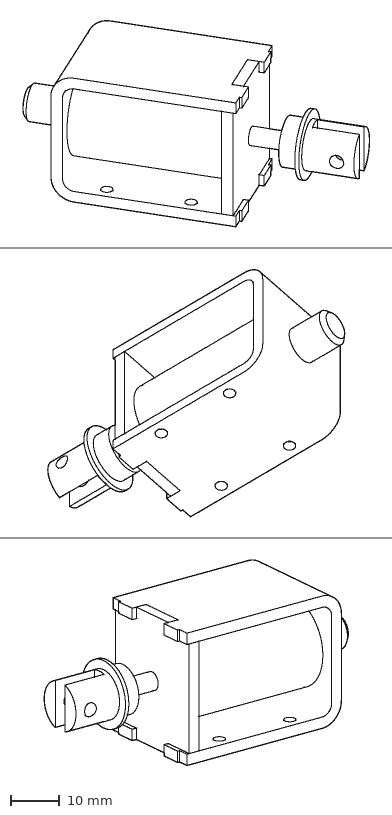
import cadquery as cq


frame_width = 25.0
frame_height = 29.0
sheet = 2.5
bend_radius = 2 * sheet
frame_start = 8.95
frame_shoulder = 48.5
frame_end = 49.0
tongue_width = 20.0
notch_width = 10.8

mount_diameter = 2.5
mount_first_x = 20.0
mount_pitch_x = 18.0
mount_pitch_y = 19.3

coil_diameter = 19.0
plate_start = 45.4

plunger_length = 71.5
tip_diameter = 8.0
tip_chamfer = 1.0
rod_diameter = 4.0
head_start = 55.4
head_diameter = 10.8
slot_start = 61.5
slot_width = 3.2
cross_hole_diameter = 3.0
cross_hole_x = 67.8

collar_diameter = 14.8
collar_start = 59.5
collar_thickness = 0.85

frame_inside = frame_start + sheet
inner_height = frame_height - 2 * sheet
plate_end = plate_start + sheet


def cylinder(diameter, start, end):
    """Cylinder on the X axis between two X positions."""
    return cq.Workplane("YZ").workplane(offset=start).circle(diameter / 2).extrude(end - start)


def block(start, end, width, height):
    """Box centred on the X axis between two X positions."""
    return cq.Workplane("XY").box(end - start, width, height).translate(((start + end) / 2, 0, 0))


def make_frame():
    outer = block(frame_start, frame_end, frame_width, frame_height)
    outer = outer.edges("|Y and <X").fillet(bend_radius)
    inner = block(frame_inside, plunger_length, frame_width, inner_height)
    inner = inner.edges("|Y and <X").fillet(bend_radius - sheet)
    frame = outer.cut(inner)

    leg_shape = block(frame_start, frame_shoulder, frame_width, frame_height)
    leg_shape = leg_shape.union(block(frame_start, frame_end, tongue_width, frame_height))
    frame = frame.intersect(leg_shape)

    frame = frame.cut(block(plate_start, frame_end, notch_width, frame_height))
    frame = frame.cut(cylinder(tip_diameter, frame_start, frame_inside))

    mount_points = [
        (mount_first_x + column * mount_pitch_x, side * mount_pitch_y / 2)
        for column in (0, 1)
        for side in (-1, 1)
    ]
    mount_holes = (
        cq.Workplane("XY")
        .workplane(offset=-frame_height / 2)
        .pushPoints(mount_points)
        .circle(mount_diameter / 2)
        .extrude(sheet)
    )
    return frame.cut(mount_holes)


def make_coil():
    """Coil between the frame's closed end and the end plate, bored for the plunger rod."""
    coil = cylinder(coil_diameter, frame_inside, plate_start)
    return coil.cut(cylinder(rod_diameter, frame_inside, plate_start))


def make_end_plate():
    """Plate between the frame legs, with tabs that sit flush in the leg notches."""
    plate = block(plate_start, plate_end, frame_width, inner_height)
    tabs = block(plate_start, plate_end, notch_width, frame_height)
    return plate.union(tabs).cut(cylinder(rod_diameter, plate_start, plate_end))


def make_plunger():
    """Chamfered tip, thin rod through the coil, and a slotted head with a collar."""
    tip = cylinder(tip_diameter, 0, frame_inside).faces("<X").chamfer(tip_chamfer)
    rod = cylinder(rod_diameter, frame_inside, head_start)
    head = cylinder(head_diameter, head_start, plunger_length)
    collar = cylinder(collar_diameter, collar_start, collar_start + collar_thickness)

    slot = block(slot_start, plunger_length, slot_width, head_diameter)
    cross_hole = (
        cq.Workplane("XZ")
        .center(cross_hole_x, 0)
        .circle(cross_hole_diameter / 2)
        .extrude(head_diameter / 2, both=True)
    )
    head = head.cut(slot).cut(cross_hole)
    return tip.union(rod).union(head).union(collar)


frame = make_frame()
coil = make_coil()
end_plate = make_end_plate()
plunger = make_plunger()

result = cq.Compound.makeCompound(
    [body.solids().val() for body in (frame, coil, end_plate, plunger)]
)